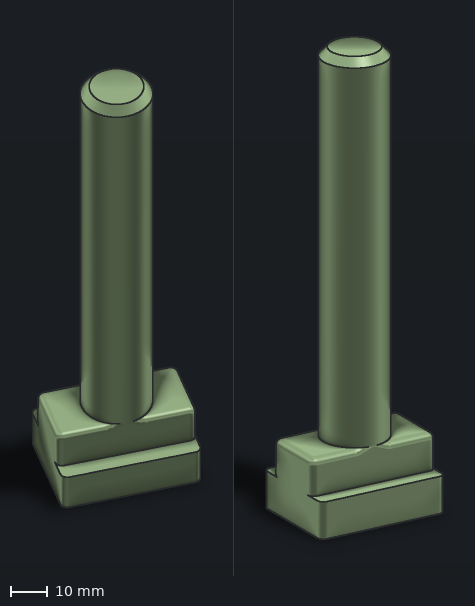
import cadquery as cq

base_width = 30.0
head_length = 40.0
base_height = 11.0
neck_width = 20.0
head_height = 22.0
edge_radius = 2.0

root_clearance = 0.01
shank_diameter = neck_width - 2 * root_clearance
shank_chamfer = 2.5
total_height = 136.0


def rounded_block(width, height):
    """Block standing on Z = 0, as long as the head, with rounded upright corners."""
    block = cq.Workplane("XY").box(width, head_length, height, centered=(True, True, False))
    return block.edges("|Z").fillet(edge_radius)


def make_shank():
    """Round bar standing on top of the neck, with a chamfered free end."""
    bar = (
        cq.Workplane("XY")
        .workplane(offset=head_height)
        .circle(shank_diameter / 2)
        .extrude(total_height - head_height)
    )
    return bar.faces(">Z").chamfer(shank_chamfer)


def make_neck_with_shank():
    """Neck and shank in one piece; the neck's rim fillet runs out against the root of the shank."""
    body = rounded_block(neck_width, head_height).union(make_shank())
    neck_top = body.faces("+Z").faces("<Z").val()
    rim_edges = neck_top.outerWire().Edges()
    return body.newObject(rim_edges).fillet(edge_radius)


base = rounded_block(base_width, base_height)
result = base.union(make_neck_with_shank())